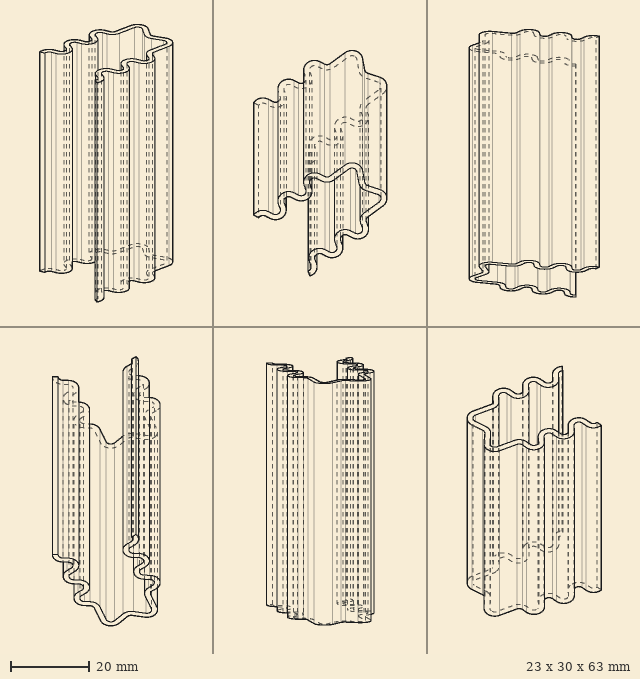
import cadquery as cq
import math

LENGTH = 63.0
WIDTH = 23.0
DEPTH = 30.0
THICKNESS = 1.5
INNER_RADIUS = 1.25
WAVE_PITCH = 8.5
WAVE_BENDS = 6
WALL_SPAN = 5.0
VALLEY_RISE = 1.8

OUTER_RADIUS = INNER_RADIUS + THICKNESS
MID_RADIUS = INNER_RADIUS + THICKNESS / 2
WALL_HALF_WIDTH = 6.85

bulge_x = WIDTH / 2 - OUTER_RADIUS
notch_x = WALL_HALF_WIDTH + MID_RADIUS
crown_x = WALL_HALF_WIDTH - MID_RADIUS
crown_y = DEPTH / 2 - OUTER_RADIUS
top_wave_y = crown_y - WALL_SPAN
end_y = top_wave_y - (WAVE_BENDS - 1) * WAVE_PITCH / 2
end_angle = math.asin((end_y + DEPTH / 2) / OUTER_RADIUS)


def bend_centers():
    """Bend centres along the strip, from the left free end to the right one."""
    left = []
    for i in range(WAVE_BENDS):
        x = bulge_x if i % 2 == 0 else notch_x
        left.append((-x, end_y + i * WAVE_PITCH / 2))
    left.append((-crown_x, crown_y))
    valley = (0, crown_y + VALLEY_RISE)
    right = [(-x, y) for x, y in reversed(left)]
    return left + [valley] + right


def polar(center, radius, angle):
    return (center[0] + radius * math.cos(angle), center[1] + radius * math.sin(angle))


def bend_arcs():
    """Centre, start angle, end angle and turn of each bend; turn is 1 for clockwise."""
    centers = bend_centers()
    arcs = []
    start = math.pi + end_angle
    for i, center in enumerate(centers):
        turn = 1 if i % 2 == 0 else -1
        if i + 1 < len(centers):
            dx = centers[i + 1][0] - center[0]
            dy = centers[i + 1][1] - center[1]
            to_tangent = math.acos(2 * MID_RADIUS / math.hypot(dx, dy))
            end = math.atan2(dy, dx) + turn * to_tangent
        else:
            end = -end_angle
        sweep = (turn * (start - end)) % (2 * math.pi)
        arcs.append((center, start, start - turn * sweep, turn))
        start = end + math.pi
    return arcs


def strip_profile():
    """Closed outline: along the outer face, then back along the inner face."""
    arcs = bend_arcs()
    path = [(c, a, b, MID_RADIUS + turn * THICKNESS / 2) for c, a, b, turn in arcs]
    path += [(c, b, a, MID_RADIUS - turn * THICKNESS / 2) for c, a, b, turn in reversed(arcs)]
    center, start, _, radius = path[0]
    outline = cq.Workplane("XY").moveTo(*polar(center, radius, start))
    for i, (center, start, end, radius) in enumerate(path):
        if i > 0:
            outline = outline.lineTo(*polar(center, radius, start))
        middle = polar(center, radius, (start + end) / 2)
        outline = outline.threePointArc(middle, polar(center, radius, end))
    return outline.close()


result = strip_profile().extrude(LENGTH)